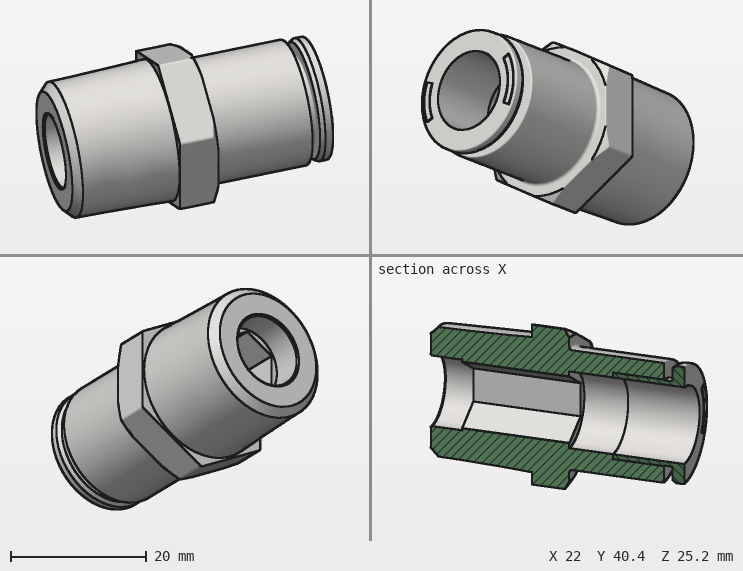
import cadquery as cq
import math


overall_length = 40.35

hex_start = 16.0
hex_length = 5.97
hex_end = hex_start + hex_length
housing_end = 37.0

thread_root_radius = 10.7
thread_tip_radius = 10.25
thread_chamfer = 1.25

hex_across_flats = 22.0
hex_corner_fillet = 0.5
hex_chamfer_radius = 11.35
hex_chamfer_angle = 30
hex_rim_fillet = 0.15

barrel_radius = 9.5
barrel_root_fillet = 0.5
barrel_rim_fillet = 0.25

bore_radius = 5.53
bore_depth = 5.0
bore_chamfer = 0.25
key_across_flats = 9.05
tube_radius = 6.0
tube_socket_floor = hex_end
sleeve_seat = 28.95

pad_height = 0.12
pad_inner_radius = 7.6
pad_outer_radius = 8.68
left_pad_half_angle = 27
right_pad_half_angle = 21

neck_radius = 6.78
neck_root_fillet = 0.15
collar_start = 38.3
collar_end = overall_length - pad_height
collar_radius = 9.3
collar_bevel_start_radius = 9.0
collar_bevel_end = 38.98
collar_back_chamfer = 0.2
collar_edge_fillet = 0.25


def revolve_about_y(profile):
    """Turn a closed profile drawn in the XY plane around the Y axis."""
    return profile.close().revolve(360, (0, 0, 0), (0, 1, 0))


def cylinder(radius, start, end):
    """Solid cylinder on the Y axis between two stations."""
    length = end - start
    return cq.Workplane("XZ", origin=(0, start, 0)).circle(radius).extrude(-length)


def hexagonal_prism(across_flats, start, end):
    """Hexagonal prism on the Y axis with flats facing -X and +X."""
    across_corners = across_flats / math.cos(math.radians(30))
    length = end - start
    return (
        cq.Workplane("XZ", origin=(0, start, 0))
        .transformed(rotate=(0, 0, 30))
        .polygon(6, across_corners)
        .extrude(-length)
    )


def make_wrench_hexagon():
    prism = hexagonal_prism(hex_across_flats, hex_start, hex_end).edges("|Y").fillet(hex_corner_fillet)

    cone_base_radius = hex_chamfer_radius + hex_length / math.tan(math.radians(hex_chamfer_angle))
    envelope = revolve_about_y(
        cq.Workplane("XY")
        .moveTo(0, hex_start)
        .lineTo(-cone_base_radius, hex_start)
        .lineTo(-hex_chamfer_radius, hex_end)
        .lineTo(0, hex_end)
    )
    hexagon = prism.intersect(envelope)

    def on_rim(edge):
        middle = edge.positionAt(0.5)
        return middle.y > hex_start + hex_length / 2 and edge.geomType() != "CIRCLE"

    rim = hexagon.edges("not |Y").filter(on_rim)
    return rim.fillet(hex_rim_fillet)


def make_thread():
    tip = thread_tip_radius - thread_chamfer
    return revolve_about_y(
        cq.Workplane("XY")
        .moveTo(0, 0)
        .lineTo(-tip, 0)
        .lineTo(-thread_tip_radius, thread_chamfer)
        .lineTo(-thread_root_radius, hex_start)
        .lineTo(0, hex_start)
    )


def make_barrel():
    root_radius = barrel_radius + barrel_root_fillet
    rim_radius = barrel_radius - barrel_rim_fillet
    return revolve_about_y(
        cq.Workplane("XY")
        .moveTo(0, hex_end)
        .lineTo(-root_radius, hex_end)
        .radiusArc((-barrel_radius, hex_end + barrel_root_fillet), -barrel_root_fillet)
        .lineTo(-barrel_radius, housing_end - barrel_rim_fillet)
        .radiusArc((-rim_radius, housing_end), barrel_rim_fillet)
        .lineTo(0, housing_end)
    )


def make_housing():
    housing = make_thread().union(make_wrench_hexagon()).union(make_barrel())

    bore = cylinder(bore_radius, 0, bore_depth).union(
        revolve_about_y(
            cq.Workplane("XY")
            .moveTo(0, 0)
            .lineTo(-bore_radius - bore_chamfer, 0)
            .lineTo(-bore_radius, bore_chamfer)
            .lineTo(0, bore_chamfer)
        )
    )
    key_socket = hexagonal_prism(key_across_flats, bore_depth, tube_socket_floor)
    tube_socket = cylinder(tube_radius, tube_socket_floor, sleeve_seat)
    sleeve_socket = cylinder(neck_radius, sleeve_seat, housing_end)
    return housing.cut(bore).cut(key_socket).cut(tube_socket).cut(sleeve_socket)


def make_pad(facing_angle, half_angle):
    """Raised arc on the sleeve's end face, centred on the given direction from +X."""

    def point(radius, angle):
        turn = math.radians(facing_angle + angle)
        return (radius * math.cos(turn), radius * math.sin(turn))

    return (
        cq.Workplane("XZ", origin=(0, collar_end, 0))
        .moveTo(*point(pad_inner_radius, -half_angle))
        .lineTo(*point(pad_outer_radius, -half_angle))
        .threePointArc(point(pad_outer_radius, 0), point(pad_outer_radius, half_angle))
        .lineTo(*point(pad_inner_radius, half_angle))
        .threePointArc(point(pad_inner_radius, 0), point(pad_inner_radius, -half_angle))
        .close()
        .extrude(-pad_height)
    )


def make_release_sleeve():
    sleeve = revolve_about_y(
        cq.Workplane("XY")
        .moveTo(tube_radius, sleeve_seat)
        .lineTo(neck_radius, sleeve_seat)
        .lineTo(neck_radius, collar_start - neck_root_fillet)
        .radiusArc((neck_radius + neck_root_fillet, collar_start), neck_root_fillet)
        .lineTo(collar_bevel_start_radius - collar_back_chamfer, collar_start)
        .lineTo(collar_bevel_start_radius, collar_start + collar_back_chamfer)
        .lineTo(collar_radius, collar_bevel_end)
        .lineTo(collar_radius, collar_end - collar_edge_fillet)
        .radiusArc((collar_radius - collar_edge_fillet, collar_end), -collar_edge_fillet)
        .lineTo(tube_radius, collar_end)
    )
    for facing_angle, half_angle in ((180, left_pad_half_angle), (0, right_pad_half_angle)):
        sleeve = sleeve.union(make_pad(facing_angle, half_angle))
    return sleeve


housing = make_housing()
release_sleeve = make_release_sleeve()
result = cq.Compound.makeCompound([housing.val(), release_sleeve.val()])